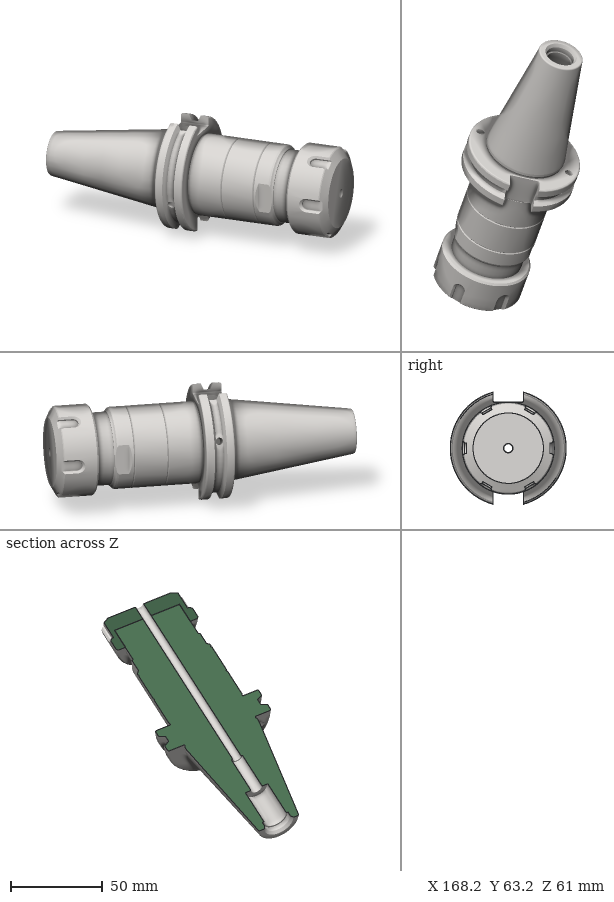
import cadquery as cq
import math

total_length = 168.2

shank_small_radius = 12.3
shank_end_rounding = 0.8
gauge_radius = 22.2
gauge_x = 68.1
collar_length = 1.5
relief_radius = 21.7
relief_land = 0.7

flange_start = 71.3
flange_width = 16.0
flange_radius = 31.6
flange_rounding = 1.0
flange_end = flange_start + flange_width
groove_middle = flange_start + flange_width / 2
groove_floor_radius = 28.3
groove_floor_width = 3.7
groove_half_angle = 25.0

drive_slot_width = 16.5
upper_slot_floor = 25.0
lower_slot_floor = 22.5
drive_slot_corner_radius = 0.7
dimple_diameter = 9.6

drill_point_angle = 118.0
coolant_angle = 20.0
port_diameter = 4.0
port_tilt = 30.0
port_mouth_distance = 26.8
port_depth = 2.2
plug_diameter = 4.0
plug_recess = 8.4
plug_length = 5.0
plug_outer_end = groove_floor_radius - plug_recess
plug_inner_end = plug_outer_end - plug_length

body_radius = 22.46
body_root_radius = 22.2
body_root_length = 1.0
body_end = 136.5
body_end_radius = 20.5
edge_bevel_start = body_end - 2.5
edge_bevel_end = body_end - 1.5
edge_bevel_radius = 22.0
shoulder_foot = body_end - 0.8
shoulder_foot_radius = 21.2
ring_groove_places = (106.7, 125.3)
ring_groove_width = 1.0
ring_groove_depth = 0.5
flat_start = 128.4
flat_distance = 20.9
flat_angle = 2.0
neck_radius = 20.0

nut_start = 145.7
nut_radius = 25.0
nut_back_chamfer = 1.0
nut_front_bevel = 0.5
nut_face_radius = 19.2
nut_cone_start = total_length - 3.0
spigot_length = 13.5
spigot_end = nut_start + spigot_length
nut_slot_count = 6
nut_slot_start = 154.8
nut_slot_width = 5.7
nut_slot_floor = 22.7
nut_slot_chamfer_foot = 23.7
nut_slot_chamfer_angle = 45.0

mouth_radius = 9.0
mouth_depth = 1.7
thread_radius = 7.7
thread_depth = 4.5
draw_bore_radius = 6.7
draw_bore_depth = 27.0
feed_radius = 3.28
feed_depth = 50.5
through_radius = 2.44

half_turn_angles = (0, 180)
overcut = 1.7


def revolve_about_x(points):
    """Turned solid from an outline of (x, radius) points."""
    return cq.Workplane("XY").polyline(points).close().revolve(360, (0, 0, 0), (1, 0, 0))


def turn(shape, angle):
    """Copy of a shape, turned about the X axis."""
    return shape.rotate((0, 0, 0), (1, 0, 0), angle)


def drill_point_depth(radius):
    return radius / math.tan(math.radians(drill_point_angle / 2))


def make_shank():
    """Taper shank with a rounded small end and a relief in front of the flange."""
    shank = revolve_about_x([
        (0, 0),
        (0, shank_small_radius),
        (gauge_x, gauge_radius),
        (gauge_x + collar_length, gauge_radius),
        (flange_start - relief_land, relief_radius),
        (flange_start, relief_radius),
        (flange_start, 0),
    ])
    return shank.faces("<X").edges().fillet(shank_end_rounding)


def make_flange():
    """Disc with rounded rims and a V-groove around it."""
    floor_half = groove_floor_width / 2
    groove_depth = flange_radius - groove_floor_radius
    top_half = floor_half + groove_depth * math.tan(math.radians(groove_half_angle))
    disc = cq.Workplane("YZ", origin=(flange_start, 0, 0)).circle(flange_radius).extrude(flange_width)
    disc = disc.faces("<X or >X").edges().fillet(flange_rounding)
    v_groove = revolve_about_x([
        (groove_middle - top_half, flange_radius),
        (groove_middle - floor_half, groove_floor_radius),
        (groove_middle + floor_half, groove_floor_radius),
        (groove_middle + top_half, flange_radius),
    ])
    return disc.cut(v_groove)


def make_front_body():
    """Body behind the flange, its bevelled shoulder, and the neck that enters the nut."""
    return revolve_about_x([
        (flange_end, 0),
        (flange_end, body_root_radius),
        (flange_end + body_root_length, body_root_radius),
        (flange_end + body_root_length, body_radius),
        (edge_bevel_start, body_radius),
        (edge_bevel_end, edge_bevel_radius),
        (shoulder_foot, shoulder_foot_radius),
        (body_end, body_end_radius),
        (body_end, neck_radius),
        (spigot_end, neck_radius),
        (spigot_end, 0),
    ])


def make_bore():
    """Stepped bore, open at the shank end and running out through the nut."""
    return revolve_about_x([
        (0, 0),
        (0, mouth_radius),
        (mouth_depth, thread_radius),
        (thread_depth, thread_radius),
        (thread_depth, draw_bore_radius),
        (draw_bore_depth, draw_bore_radius),
        (draw_bore_depth, feed_radius),
        (feed_depth, feed_radius),
        (feed_depth, through_radius),
        (total_length, through_radius),
        (total_length, 0),
    ])


def make_ring_groove(place):
    """V-shaped ring cut into the body."""
    half = ring_groove_width / 2
    return revolve_about_x([
        (place - half, body_radius),
        (place, body_radius - ring_groove_depth),
        (place + half, body_radius),
    ])


def make_drive_slot(floor):
    """Slot across the flange at +Z, with rounded floor corners."""
    height = flange_radius - floor + overcut
    slot = cq.Workplane("XY").box(flange_width, drive_slot_width, height, centered=(False, True, False))
    slot = slot.edges("|X and <Z").fillet(drive_slot_corner_radius)
    return slot.translate((flange_start, 0, floor))


def make_dimple():
    """Conical dimple in the floor of the upper drive slot."""
    radius = dimple_diameter / 2
    centre = cq.Vector(groove_middle, 0, upper_slot_floor)
    return cq.Workplane(cq.Solid.makeCone(radius, 0, drill_point_depth(radius), centre, cq.Vector(0, 0, -1)))


def make_side_flat():
    """Material outside the flat at -Y, which runs out at 45 degrees towards the flange."""
    depth = body_radius - flat_distance + overcut
    points = [
        (flat_start, -flat_distance),
        (body_end, -flat_distance),
        (body_end, -flat_distance - depth),
        (flat_start - depth, -flat_distance - depth),
    ]
    return cq.Workplane("XY").polyline(points).close().extrude(body_radius, both=True)


def make_coolant_port():
    """Drilled port in the flange face at +Y, leaning towards the axis."""
    tilt = math.radians(port_tilt)
    radius = port_diameter / 2
    direction = cq.Vector(math.cos(tilt), -math.sin(tilt), 0)
    mouth = cq.Vector(flange_start, port_mouth_distance, 0)
    start = mouth - direction * port_diameter
    shaft = cq.Solid.makeCylinder(radius, port_diameter + port_depth, start, direction)
    point_start = mouth + direction * port_depth
    point = cq.Solid.makeCone(radius, 0, drill_point_depth(radius), point_start, direction)
    return cq.Workplane(shaft).union(cq.Workplane(point))


def make_radial_cylinder(inner_end, outer_end):
    """Cylinder of the plug's diameter along +Y, in the middle of the V-groove."""
    start = cq.Vector(groove_middle, inner_end, 0)
    length = outer_end - inner_end
    return cq.Workplane(cq.Solid.makeCylinder(plug_diameter / 2, length, start, cq.Vector(0, 1, 0)))


def make_holder():
    holder = make_shank().union(make_flange()).union(make_front_body())
    holder = holder.cut(make_bore())
    for place in ring_groove_places:
        holder = holder.cut(make_ring_groove(place))
    holder = holder.cut(make_drive_slot(upper_slot_floor))
    holder = holder.cut(turn(make_drive_slot(lower_slot_floor), 180))
    holder = holder.cut(make_dimple())
    for half_turn in half_turn_angles:
        holder = holder.cut(turn(make_side_flat(), flat_angle + half_turn))
        holder = holder.cut(turn(make_coolant_port(), coolant_angle + half_turn))
        plug_hole = make_radial_cylinder(plug_inner_end, flange_radius)
        holder = holder.cut(turn(plug_hole, coolant_angle + half_turn))
    return holder


def make_plug(angle):
    """Plug at the bottom of a radial hole in the V-groove."""
    return turn(make_radial_cylinder(plug_inner_end, plug_outer_end), angle)


def nut_slot_outline(distance):
    """Slot outline at -Y, at a distance from the axis: round at one end, open at the nut's face."""
    half = nut_slot_width / 2
    arc_centre = nut_slot_start + half
    open_end = total_length + overcut
    return (
        cq.Workplane("XZ", origin=(0, -distance, 0))
        .moveTo(open_end, -half)
        .lineTo(arc_centre, -half)
        .threePointArc((nut_slot_start, 0), (arc_centre, half))
        .lineTo(open_end, half)
        .close()
    )


def make_nut_slot():
    """Wrench slot with upright walls and chamfered upper edges."""
    walls = nut_slot_outline(nut_slot_floor).extrude(nut_radius - nut_slot_floor)
    chamfer_height = nut_radius - nut_slot_chamfer_foot
    chamfer = nut_slot_outline(nut_slot_chamfer_foot).extrude(chamfer_height, taper=-nut_slot_chamfer_angle)
    return walls.union(chamfer)


def make_nut():
    nut = revolve_about_x([
        (nut_start, 0),
        (nut_start, nut_radius - nut_back_chamfer),
        (nut_start + nut_back_chamfer, nut_radius),
        (nut_cone_start - nut_front_bevel, nut_radius),
        (nut_cone_start, nut_radius - nut_front_bevel),
        (total_length, nut_face_radius),
        (total_length, 0),
    ])
    spigot_recess = cq.Workplane("YZ", origin=(nut_start, 0, 0)).circle(neck_radius).extrude(spigot_length)
    nut = nut.cut(spigot_recess).cut(make_bore())
    for index in range(nut_slot_count):
        nut = nut.cut(turn(make_nut_slot(), index * 360 / nut_slot_count))
    return nut


holder = make_holder()
nut = make_nut()
plugs = [make_plug(coolant_angle + half_turn) for half_turn in half_turn_angles]

result = cq.Compound.makeCompound([holder.val(), nut.val(), *[plug.val() for plug in plugs]])